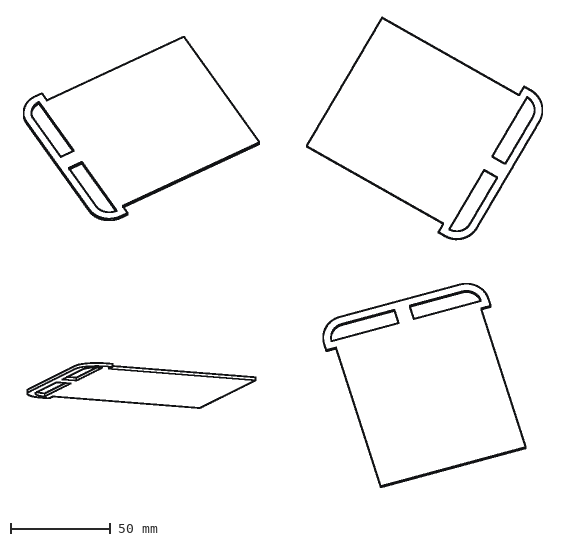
import cadquery as cq

total_length = 95.0
thickness = 1.6
plate_width = 76.0
handle_width = 86.2

border = 4.0
slot_depth = 7.6
center_rib_width = 8.0
handle_depth = slot_depth + 2 * border
outer_radius = slot_depth + border
slot_radius = outer_radius - border
slot_length = (handle_width - center_rib_width) / 2 - border

front_y = -total_length / 2
handle_back_y = front_y + handle_depth


def make_plate():
    """Rectangular plate reaching from the back of the handle to the +Y end."""
    plate_length = total_length - handle_depth
    return (
        cq.Workplane("XY")
        .box(plate_width, plate_length, thickness)
        .translate((0, handle_back_y + plate_length / 2, 0))
    )


def make_handle():
    """Wider bar with its two front corners rounded."""
    return (
        cq.Workplane("XY")
        .box(handle_width, handle_depth, thickness)
        .edges("|Z")
        .edges("<Y")
        .fillet(outer_radius)
        .translate((0, front_y + handle_depth / 2, 0))
    )


def make_slot():
    """Cutter for the +X slot, its outer front corner a quarter circle."""
    inner_x = center_rib_width / 2
    outer_x = inner_x + slot_length
    slot_front_y = front_y + border
    slot_back_y = slot_front_y + slot_depth
    return (
        cq.Workplane("XY")
        .workplane(offset=-thickness)
        .moveTo(inner_x, slot_front_y)
        .lineTo(outer_x - slot_radius, slot_front_y)
        .radiusArc((outer_x, slot_back_y), -slot_radius)
        .lineTo(inner_x, slot_back_y)
        .close()
        .extrude(2 * thickness)
    )


slot = make_slot()
result = make_plate().union(make_handle()).cut(slot).cut(slot.mirror("YZ"))